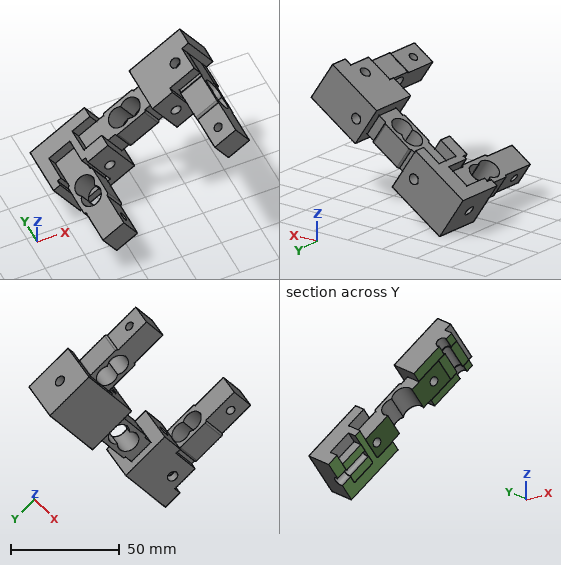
import cadquery as cq

TILT = 33.4

BEAM_SIDE = 12.7
BEAM_LENGTH = 51.75
PAD_HEIGHT = 1.0
PAD_START = 15.1
PAD_LENGTH = 18.1
BORE_DIAMETER = 10.6
BORE_SPACING = 7.1
BEAM_HOLE_DIAMETER = 4.2
SEAT_HOLE_SETBACK = 3.9
TIP_HOLE_SETBACK = 7.7

BACK_Y = 30.7
FRONT_Y = 5.2
SEAT_Y = 21.2
STEP_Y = 7.95
CLEARANCE = 2.0
SCREW_DIAMETER = 5.1

LOWER_START = -44.95
LOWER_END = -11.9
LOWER_HEIGHT = 24.7
LOWER_BEAM_X = -32.5

UPPER_START = 15.0
UPPER_END = 45.75
UPPER_TOP = 12.1
UPPER_BOTTOM = -10.5
UPPER_BEAM_X = 35.4

LINK_Y = 18.4

HALF_BEAM = BEAM_SIDE / 2
LINK_TIP_X = UPPER_BEAM_X - HALF_BEAM
LINK_SEAT_X = LINK_TIP_X - BEAM_LENGTH
LOWER_TOP = LOWER_HEIGHT / 2
SCREW_Y = SEAT_Y - SEAT_HOLE_SETBACK
LINK_SEAT_HOLE_X = LINK_SEAT_X + SEAT_HOLE_SETBACK
LINK_TIP_HOLE_X = LINK_TIP_X - TIP_HOLE_SETBACK


def block(x_range, y_range, z_range):
    """Box between the given limits along each axis."""
    (x0, x1), (y0, y1), (z0, z1) = x_range, y_range, z_range
    return cq.Workplane("XY").box(x1 - x0, y1 - y0, z1 - z0, centered=False).translate((x0, y0, z0))


def drill(start, direction, depth, diameter):
    """Cylinder that runs from a start point along a direction."""
    cylinder = cq.Solid.makeCylinder(diameter / 2, depth, cq.Vector(*start), cq.Vector(*direction))
    return cq.Workplane(cylinder)


def beam(seat, axis, bore_direction):
    """Beam whose seated end is centred on a point, with bores along bore_direction and pads beside them."""
    plane = cq.Plane(origin=seat, xDir=axis, normal=bore_direction)
    pad_end = PAD_START + PAD_LENGTH
    pad_level = HALF_BEAM + PAD_HEIGHT
    bar = (
        cq.Workplane(plane)
        .center(BEAM_LENGTH / 2, 0)
        .rect(BEAM_LENGTH, BEAM_SIDE)
        .extrude(HALF_BEAM, both=True)
    )
    raised_middle = (
        cq.Workplane(plane)
        .moveTo(PAD_START, -HALF_BEAM)
        .lineTo(PAD_START, HALF_BEAM)
        .radiusArc((PAD_START + PAD_HEIGHT, pad_level), PAD_HEIGHT)
        .lineTo(pad_end - PAD_HEIGHT, pad_level)
        .radiusArc((pad_end, HALF_BEAM), PAD_HEIGHT)
        .lineTo(pad_end, -HALF_BEAM)
        .radiusArc((pad_end - PAD_HEIGHT, -pad_level), PAD_HEIGHT)
        .lineTo(PAD_START + PAD_HEIGHT, -pad_level)
        .radiusArc((PAD_START, -HALF_BEAM), PAD_HEIGHT)
        .close()
        .extrude(HALF_BEAM, both=True)
    )
    body = bar.union(raised_middle)

    bore_middle = PAD_START + PAD_LENGTH / 2
    bore_centres = [(bore_middle + side * BORE_SPACING / 2, 0) for side in (-1, 1)]
    for centre in bore_centres:
        bore = cq.Workplane(plane).center(*centre).circle(BORE_DIAMETER / 2).extrude(HALF_BEAM, both=True)
        body = body.cut(bore)

    for distance in (SEAT_HOLE_SETBACK, BEAM_LENGTH - TIP_HOLE_SETBACK):
        hole_start = plane.toWorldCoords((distance, -HALF_BEAM, 0)).toTuple()
        body = body.cut(drill(hole_start, plane.yDir.toTuple(), BEAM_SIDE, BEAM_HOLE_DIAMETER))
    return body


def cross_screw_hole(x):
    """Screw hole through a housing from front to back, crossing the link beam."""
    return drill((x, FRONT_Y, 0), (0, 1, 0), BACK_Y - FRONT_Y, SCREW_DIAMETER)


def link_socket(x_range, top):
    """Pocket that holds one end of the link beam."""
    return block(x_range, (LINK_Y - HALF_BEAM, LINK_Y + HALF_BEAM), (-HALF_BEAM, top))


def lower_housing():
    """Housing with both beam pockets open at the top."""
    body = block((LOWER_START, LOWER_END), (FRONT_Y, BACK_Y), (-LOWER_TOP, LOWER_TOP))
    beam_left = LOWER_BEAM_X - HALF_BEAM
    beam_right = LOWER_BEAM_X + HALF_BEAM
    seat = block((beam_left, beam_right), (FRONT_Y, SEAT_Y), (-HALF_BEAM, LOWER_TOP))
    relief = block(
        (beam_left - CLEARANCE, beam_right + CLEARANCE),
        (FRONT_Y, STEP_Y),
        (-HALF_BEAM - CLEARANCE, LOWER_TOP),
    )
    side_screw = drill((LOWER_START, SCREW_Y, 0), (1, 0, 0), LOWER_BEAM_X - LOWER_START, SCREW_DIAMETER)
    socket = link_socket((LINK_SEAT_X, LOWER_END), LOWER_TOP)
    cross_screw = cross_screw_hole(LINK_SEAT_HOLE_X)
    return body.cut(seat).cut(relief).cut(side_screw).cut(socket).cut(cross_screw)


def upper_housing():
    """Housing with its hanging beam seated in a pocket open at the far end."""
    height = (UPPER_BOTTOM, UPPER_TOP)
    body = block((UPPER_START, UPPER_END), (FRONT_Y, BACK_Y), height)
    beam_left = UPPER_BEAM_X - HALF_BEAM
    beam_right = UPPER_BEAM_X + HALF_BEAM
    end_notch = block((beam_right, UPPER_END), (FRONT_Y, SEAT_Y), height)
    relief = block((beam_left - CLEARANCE, UPPER_END), (FRONT_Y, STEP_Y), height)
    seat = block((beam_left, beam_right), (FRONT_Y, SEAT_Y), (-HALF_BEAM, HALF_BEAM))
    screw_depth = UPPER_TOP - UPPER_BOTTOM
    top_screw = drill((UPPER_BEAM_X, SCREW_Y, UPPER_BOTTOM), (0, 0, 1), screw_depth, SCREW_DIAMETER)
    socket = link_socket((UPPER_START, LINK_TIP_X), HALF_BEAM)
    cross_screw = cross_screw_hole(LINK_TIP_HOLE_X)
    return body.cut(end_notch).cut(relief).cut(seat).cut(top_screw).cut(socket).cut(cross_screw)


beam_placements = [
    ((LINK_SEAT_X, LINK_Y, 0), (1, 0, 0), (0, 0, 1)),
    ((LOWER_BEAM_X, SEAT_Y, 0), (0, -1, 0), (0, 0, 1)),
    ((UPPER_BEAM_X, SEAT_Y, 0), (0, -1, 0), (1, 0, 0)),
]

beams = []
for seat_point, length_direction, bore_axis in beam_placements:
    beams.append(beam(seat_point, length_direction, bore_axis))

level_bodies = [lower_housing(), upper_housing(), *beams]
tilted_bodies = [body.rotate((0, 0, 0), (0, 1, 0), -TILT) for body in level_bodies]
result = cq.Compound.makeCompound([body.solids().val() for body in tilted_bodies])